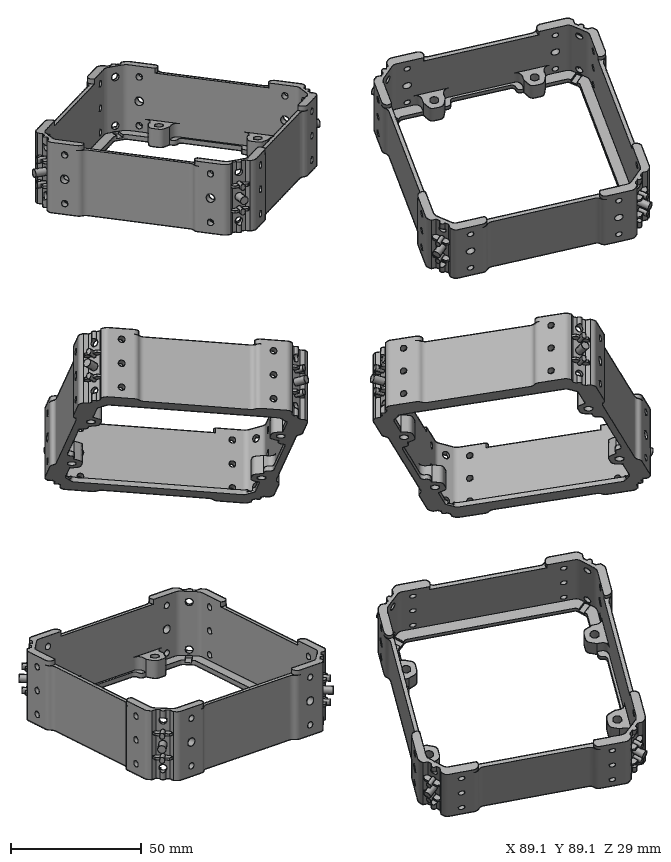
import cadquery as cq
import math

frame_size = 89.1
frame_height = 28.95
half_size = frame_size / 2
mid_height = frame_height / 2
side_recess = 1.8
corner_wall = 3.45
recess_face = half_size - side_recess
inner_face = half_size - corner_wall
rim_drop = 2.0
side_top = frame_height - rim_drop

outer_chamfer_sum = 80.2
notch_chamfer_sum = 78.25
inner_chamfer_sum = 76.1
ledge_chamfer_sum = 70.3
notch_edge = 37.2
outer_radius = 2.5
inner_radius = 3.0
recess_half_width = 20.6
recess_blend_length = 3.95
pad_end = 22.5
pad_end_radius = 2.1
pad_end_inset = 1.35

ledge_thickness = 2.0
ledge_face = 36.9
ledge_radius = 1.5
window_half_width = 13.0
window_face = 40.1
window_radius = (window_face - ledge_face) / 2

boss_x = 20.0
boss_y = 36.85
boss_height = 7.5
boss_half_width = 4.35
boss_shoulder = 36.8
boss_tip = 32.95
boss_tip_half_width = 2.6
boss_tip_radius = 2.2
boss_root_radius = 2.5
boss_hole_diameter = 3.4

wall_hole_offset = 29.5
hole_pitch = 10.0
small_hole_diameter = 2.53
large_hole_diameter = 3.4
corner_hole_diameter = 3.0

notch_distance = notch_chamfer_sum / math.sqrt(2)
inner_distance = inner_chamfer_sum / math.sqrt(2)
rib_radius = 1.08
pin_diameter = 3.2
pin_tip_distance = 60.2
lug_pitch = 5.06
lug_width = 1.9
lug_height = 2.53
lug_tip_distance = 59.1
web_thickness = 1.0
web_chamfer_sum = 81.6
slot_width = 2.6
slot_floor = 0.9
slot_end_depth = 0.4
embed = 0.5


def chamfered_square(half, chamfer_sum, height, radius):
    """Square prism with 45 degree corners and rounded vertical edges."""
    cut = chamfer_sum - half
    points = [
        (half, cut), (cut, half), (-cut, half), (-half, cut),
        (-half, -cut), (-cut, -half), (cut, -half), (half, -cut),
    ]
    prism = cq.Workplane("XY").polyline(points).close().extrude(height)
    return prism.edges("|Z").fillet(radius)


def four_times(shape):
    """The shape repeated at 90 degree steps about the Z axis."""
    copies = [shape.rotate((0, 0, 0), (0, 0, 1), 90 * i).val() for i in range(4)]
    return cq.Workplane("XY").newObject(copies)


def minus_all(body, tools):
    """The body with every shape of the set cut away."""
    return body.cut(cq.Compound.makeCompound(tools.vals()))


def plus_all(body, tools):
    """The body joined with every shape of the set."""
    return body.union(cq.Compound.makeCompound(tools.vals()))


def side_recess_cutter():
    """Shallow pocket in the outer face of the -Y side, with S-shaped ends."""
    half_run = recess_blend_length / 2
    half_step = side_recess / 2
    radius = (half_run ** 2 + half_step ** 2) / (2 * half_step)
    inner = recess_half_width
    middle = inner + half_run
    outer = inner + recess_blend_length
    middle_face = recess_face + half_step
    return (
        cq.Workplane("XY")
        .moveTo(-inner, -recess_face)
        .lineTo(inner, -recess_face)
        .radiusArc((middle, -middle_face), radius)
        .radiusArc((outer, -half_size), -radius)
        .lineTo(-outer, -half_size)
        .radiusArc((-middle, -middle_face), -radius)
        .radiusArc((-inner, -recess_face), radius)
        .close().extrude(frame_height)
    )


def corner_notch_cutter():
    """Notch at the +X +Y corner with two square walls and a 45 degree floor."""
    notch_depth = notch_chamfer_sum - notch_edge
    points = [
        (notch_edge, notch_depth), (notch_edge, half_size),
        (half_size, half_size), (half_size, notch_edge),
        (notch_depth, notch_edge),
    ]
    return cq.Workplane("XY").polyline(points).close().extrude(frame_height)


def rim_cutter():
    """Lowers the rim of the -Y side between the rounded ends of the corner pads."""
    wall_centre = half_size - corner_wall / 2
    arc_x = pad_end + pad_end_radius
    arc_y = -(inner_face + pad_end_inset)
    block = cq.Workplane("XY").box(2 * arc_x, corner_wall, rim_drop, centered=(True, True, False))
    block = block.translate((0, -wall_centre, side_top))
    ends = (
        cq.Workplane("XY").workplane(offset=side_top)
        .pushPoints([(-arc_x, arc_y), (arc_x, arc_y)])
        .circle(pad_end_radius).extrude(rim_drop)
    )
    return block.cut(ends)


def make_walls():
    """Square tube with recessed sides, corner notches and lowered side rims."""
    block = chamfered_square(half_size, outer_chamfer_sum, frame_height, outer_radius)
    bore = chamfered_square(inner_face, inner_chamfer_sum, frame_height, inner_radius)
    tube = minus_all(block.cut(bore), four_times(side_recess_cutter()))
    tube = minus_all(tube, four_times(corner_notch_cutter()))
    return minus_all(tube, four_times(rim_cutter()))


def window_cutter():
    """Widens the ledge opening at the -Y side, with S-shaped ends."""
    r = window_radius
    corner_y = window_face - r
    right = window_half_width
    return (
        cq.Workplane("XY")
        .moveTo(-right + r, -window_face)
        .lineTo(right - r, -window_face)
        .radiusArc((right, -corner_y), -r)
        .radiusArc((right + r, -ledge_face), r)
        .lineTo(-right - r, -ledge_face)
        .radiusArc((-right, -corner_y), r)
        .radiusArc((-right + r, -window_face), -r)
        .close().extrude(ledge_thickness)
    )


def make_ledge():
    """Thin inward ledge around the bottom of the frame."""
    plate = chamfered_square(inner_face, inner_chamfer_sum, ledge_thickness, inner_radius)
    opening = chamfered_square(ledge_face, ledge_chamfer_sum, ledge_thickness, ledge_radius)
    window = window_cutter()
    return plate.cut(opening).cut(window).cut(window.mirror("XZ"))


def make_boss(side_x, side_y):
    """Screw boss on a Y side, flared where it meets the wall."""
    root = boss_half_width + boss_root_radius
    flare_y = -inner_face + boss_root_radius
    boss = (
        cq.Workplane("XY")
        .moveTo(-root, -inner_face)
        .lineTo(root, -inner_face)
        .radiusArc((boss_half_width, flare_y), boss_root_radius)
        .lineTo(boss_half_width, -boss_shoulder)
        .lineTo(boss_tip_half_width, -boss_tip)
        .lineTo(-boss_tip_half_width, -boss_tip)
        .lineTo(-boss_half_width, -boss_shoulder)
        .lineTo(-boss_half_width, flare_y)
        .radiusArc((-root, -inner_face), boss_root_radius)
        .close().extrude(boss_height)
    )
    boss = boss.edges("|Z and >Y").fillet(boss_tip_radius)
    if side_y > 0:
        boss = boss.mirror("XZ")
    return boss.translate((side_x * boss_x, 0, 0))


def hole_along(axis_plane, offset, height, diameter):
    """Hole through both opposite walls; axis_plane is XZ or YZ."""
    return (
        cq.Workplane(axis_plane).center(offset, height)
        .circle(diameter / 2).extrude(frame_size, both=True)
    )


def diagonal_rod(start, end, height, diameter):
    """Cylinder along the +X diagonal direction before it is turned to a corner."""
    return (
        cq.Workplane("YZ", origin=(start, 0, height))
        .circle(diameter / 2).extrude(end - start)
    )


def to_corner(shape):
    return shape.rotate((0, 0, 0), (0, 0, 1), 45)


def make_web(height):
    """Thin horizontal web that fills the corner notch out to the recess faces."""
    cut = web_chamfer_sum - recess_face
    root = (inner_chamfer_sum + notch_chamfer_sum) / 2 - notch_edge
    points = [
        (notch_edge, root), (notch_edge, recess_face), (cut, recess_face),
        (recess_face, cut), (recess_face, notch_edge), (root, notch_edge),
    ]
    web = cq.Workplane("XY").polyline(points).close().extrude(web_thickness)
    return web.translate((0, 0, height - web_thickness / 2))


def make_corner_fittings():
    """Ribs above and below the cross holes, pin, lugs and webs of the +X +Y corner."""
    root = notch_distance - embed
    rib = cq.Workplane("XY").center(notch_distance, 0).circle(rib_radius)
    rib = rib.extrude(mid_height - hole_pitch)
    upper_rib = rib.translate((0, 0, mid_height + hole_pitch))
    pin = diagonal_rod(root, pin_tip_distance, mid_height, pin_diameter)
    fittings = to_corner(pin.union(rib).union(upper_rib))
    for side in (-1, 1):
        height = mid_height + side * lug_pitch
        lug = (
            cq.Workplane("YZ", origin=(root, 0, height))
            .slot2D(lug_height, lug_width, 90).extrude(lug_tip_distance - root)
        )
        fittings = fittings.union(to_corner(lug)).union(make_web(height))
    return fittings


def corner_cutters():
    """Two cross holes and the ledge slot of the +X +Y corner."""
    cutters = [
        diagonal_rod(inner_distance - embed, pin_tip_distance, mid_height + side * hole_pitch,
                     corner_hole_diameter)
        for side in (-1, 1)
    ]
    half_slot = slot_width / 2
    slot = (
        cq.Workplane("XY").workplane(offset=slot_floor)
        .moveTo(0, -half_slot)
        .lineTo(inner_distance, -half_slot)
        .threePointArc((inner_distance + slot_end_depth, 0), (inner_distance, half_slot))
        .lineTo(0, half_slot)
        .close().extrude(ledge_thickness - slot_floor)
    )
    cutters.append(slot)
    return [to_corner(cutter) for cutter in cutters]


def add_bosses(body):
    """Four drilled screw bosses, two on each Y side."""
    for x_side in (-1, 1):
        for y_side in (-1, 1):
            hole = cq.Workplane("XY").center(x_side * boss_x, y_side * boss_y)
            hole = hole.circle(boss_hole_diameter / 2).extrude(boss_height)
            body = body.union(make_boss(x_side, y_side)).cut(hole)
    return body


def drill_sides(body):
    """Three holes in a column near each end of every side."""
    for offset in (-wall_hole_offset, wall_hole_offset):
        for step in (-1, 0, 1):
            height = mid_height + step * hole_pitch
            y_wall_diameter = large_hole_diameter if step == 0 else small_hole_diameter
            body = body.cut(hole_along("XZ", offset, height, y_wall_diameter))
            body = body.cut(hole_along("YZ", offset, height, small_hole_diameter))
    return body


frame = make_walls().union(make_ledge())
frame = plus_all(frame, four_times(make_corner_fittings()))
for corner_cutter in corner_cutters():
    frame = minus_all(frame, four_times(corner_cutter))
frame = add_bosses(frame)

result = drill_sides(frame)